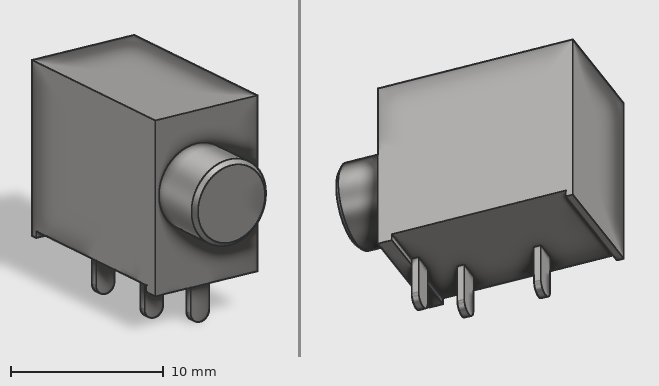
import cadquery as cq

total_length = 18.0
total_height = 15.3

sleeve_length = 4.0
housing_length = total_length - sleeve_length
housing_width = 8.2
pin_drop = 3.0
housing_height = total_height - pin_drop

foot_height = 0.47
rear_foot_length = 0.5
front_foot_length = 1.0
front_foot_start = housing_length - front_foot_length

sleeve_diameter = 6.0
sleeve_chamfer = 0.3
sleeve_y = -0.81
sleeve_axis_depth = 5.31
sleeve_z = housing_height - sleeve_axis_depth

pin_thickness = 0.5
pin_width = 1.5
pin_row_offset = 1.0
near_row_y = sleeve_y - pin_row_offset
far_row_y = sleeve_y + pin_row_offset
front_pin_x = front_foot_start - pin_thickness / 2
pin_positions = [
    (4.86, near_row_y),
    (10.37, near_row_y),
    (front_pin_x, far_row_y),
]


def make_sleeve():
    """Solid cylinder along X with a chamfered free end."""
    return (
        cq.Workplane("YZ", origin=(housing_length, sleeve_y, sleeve_z))
        .circle(sleeve_diameter / 2)
        .extrude(sleeve_length)
        .faces(">X")
        .chamfer(sleeve_chamfer)
    )


def make_housing():
    """Block with a relief across its underside and the sleeve on its front."""
    block = cq.Workplane("XY").box(
        housing_length, housing_width, housing_height, centered=(False, True, False)
    )
    relief = (
        cq.Workplane("XY", origin=(rear_foot_length, 0, 0))
        .box(
            front_foot_start - rear_foot_length, housing_width, foot_height,
            centered=(False, True, False),
        )
    )
    return block.cut(relief).union(make_sleeve())


def make_pin(x, y):
    """Flat pin hanging from the relief ceiling, with a fully rounded tip."""
    half_width = pin_width / 2
    tip_z = -pin_drop
    return (
        cq.Workplane("YZ", origin=(x - pin_thickness / 2, y, 0))
        .moveTo(-half_width, foot_height)
        .lineTo(-half_width, tip_z + half_width)
        .threePointArc((0, tip_z), (half_width, tip_z + half_width))
        .lineTo(half_width, foot_height)
        .close()
        .extrude(pin_thickness)
    )


housing = make_housing()
pins = [make_pin(x, y) for x, y in pin_positions]

result = cq.Compound.makeCompound([housing.val(), *[pin.val() for pin in pins]])